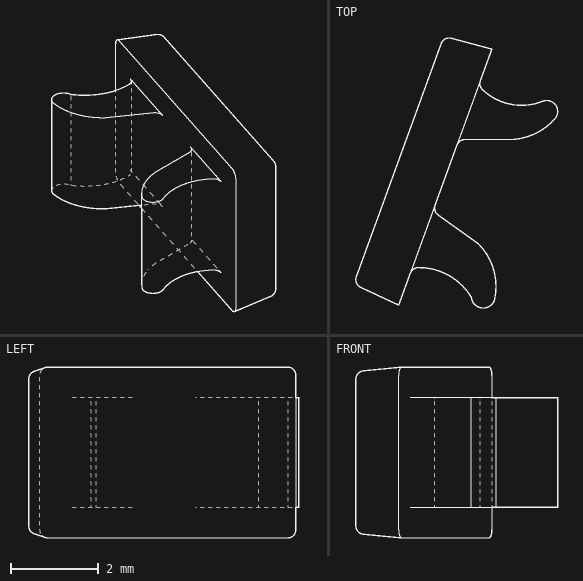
import cadquery as cq
import math

TILT = 20.0
PLATE_LENGTH = 6.215
PLATE_HEIGHT = 3.9
PLATE_DEPTH = 1.135
DRAFT = 5.0
EDGE_RADIUS = 0.2
BACK_CENTER = (-0.245, -0.085)

ARM_HEIGHT = 2.5
ROOT_RADIUS = 0.2

UPPER_FLANK_CENTER = (1.49, 2.845)
UPPER_FLANK_RADIUS = 1.295
LOWER_FLANK_CENTER = (-0.85, -3.54)
LOWER_FLANK_RADIUS = 1.39

BACK_NORMAL = cq.Vector(math.cos(math.radians(TILT)), -math.sin(math.radians(TILT)), 0)
BACK_ORIGIN = cq.Vector(*BACK_CENTER, 0)


def on_circle(center, radius, angle):
    """Point of a circle at an angle in degrees from +X."""
    turn = math.radians(angle)
    return (center[0] + radius * math.cos(turn), center[1] + radius * math.sin(turn))


def make_plate():
    """Drafted block with rounded side corners and a rounded outer face."""
    along = cq.Vector(math.sin(math.radians(TILT)), math.cos(math.radians(TILT)), 0)
    back = cq.Plane(origin=BACK_ORIGIN, xDir=along, normal=-BACK_NORMAL)
    block = cq.Workplane(back).rect(PLATE_LENGTH, PLATE_HEIGHT).extrude(PLATE_DEPTH, taper=DRAFT)
    back_edges = block.faces(cq.selectors.DirectionMinMaxSelector(BACK_NORMAL, True)).edges().vals()
    rounded = [
        edge for edge in block.edges().vals()
        if not any(edge.isSame(back_edge) for back_edge in back_edges)
    ]
    return block.newObject(rounded).fillet(EDGE_RADIUS)


def arm_start():
    """Sketch plane at the underside of the arms."""
    return cq.Workplane("XY").workplane(offset=-ARM_HEIGHT / 2)


def make_upper_arm():
    """Arm with a flat lower side, hooked toward +Y; its root lies inside the plate."""
    flank_root = on_circle(UPPER_FLANK_CENTER, UPPER_FLANK_RADIUS, 205)
    flank_middle = on_circle(UPPER_FLANK_CENTER, UPPER_FLANK_RADIUS, 250)
    flank_end = on_circle(UPPER_FLANK_CENTER, UPPER_FLANK_RADIUS, 291)
    return (
        arm_start()
        .moveTo(*flank_root)
        .threePointArc(flank_middle, flank_end)
        .threePointArc((2.24, 1.59), (2.27, 1.27))
        .threePointArc((1.92, 0.97), (1.305, 0.77))
        .lineTo(-0.31, 0.77)
        .close()
        .extrude(ARM_HEIGHT)
    )


def make_lower_arm():
    """Arm with a straight sloping upper side, hooked toward -Y; its root lies inside the plate."""
    flank_root = on_circle(LOWER_FLANK_CENTER, LOWER_FLANK_RADIUS, 106)
    flank_middle = on_circle(LOWER_FLANK_CENTER, LOWER_FLANK_RADIUS, 68)
    flank_end = on_circle(LOWER_FLANK_CENTER, LOWER_FLANK_RADIUS, 31)
    return (
        arm_start()
        .moveTo(*flank_root)
        .threePointArc(flank_middle, flank_end)
        .threePointArc((0.615, -3.075), (0.875, -2.89))
        .threePointArc((0.89, -2.32), (0.505, -1.6))
        .lineTo(-0.79, -0.68)
        .close()
        .extrude(ARM_HEIGHT)
    )


def round_arm_roots(body):
    """Fillet the vertical edges where the arms meet the back face."""
    roots = [
        edge for edge in body.edges("|Z").vals()
        if abs((edge.Center() - BACK_ORIGIN).dot(BACK_NORMAL)) < 0.0005
        and abs(edge.Length() - ARM_HEIGHT) < 0.0005
    ]
    return body.newObject(roots).fillet(ROOT_RADIUS)


result = round_arm_roots(make_plate().union(make_upper_arm()).union(make_lower_arm()))